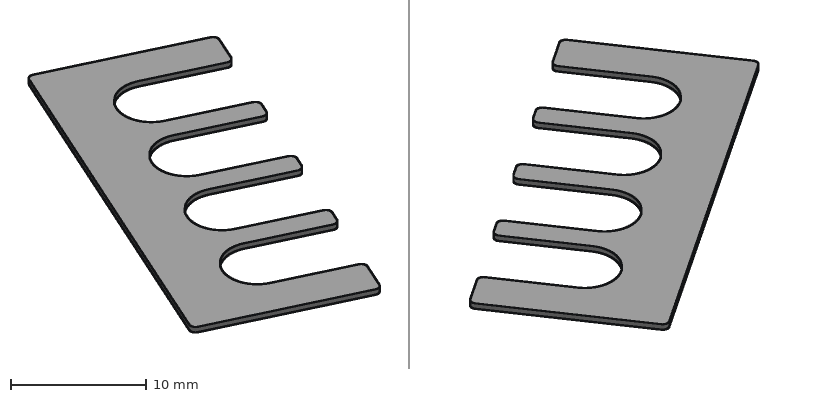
import cadquery as cq

length = 35.0
width = 15.0
thickness = 0.5
corner_radius = 0.5

slot_count = 4
slot_pitch = 7.5
slot_width = 5.5
slot_radius = slot_width / 2
slot_straight_depth = 7.5


def make_plate():
    """Flat rectangular plate centred on the origin in X and Y."""
    return cq.Workplane("XY").box(length, width, thickness, centered=(True, True, False))


def make_slot(center_x):
    """Cutter for one slot, running from the +Y edge down to a half-round end."""
    edge_y = width / 2
    arc_center_y = edge_y - slot_straight_depth
    return (
        cq.Workplane("XY")
        .moveTo(center_x - slot_radius, edge_y)
        .lineTo(center_x - slot_radius, arc_center_y)
        .threePointArc(
            (center_x, arc_center_y - slot_radius),
            (center_x + slot_radius, arc_center_y),
        )
        .lineTo(center_x + slot_radius, edge_y)
        .close()
        .extrude(thickness)
    )


def round_corners(plate):
    """Round the plate corners and finger tips, all on the -Y and +Y edges."""
    outer_corners = plate.faces("<Y or >Y").edges("|Z")
    return outer_corners.fillet(corner_radius)


plate = make_plate()
for index in range(slot_count):
    slot_x = (index - (slot_count - 1) / 2) * slot_pitch
    plate = plate.cut(make_slot(slot_x))

result = round_corners(plate)